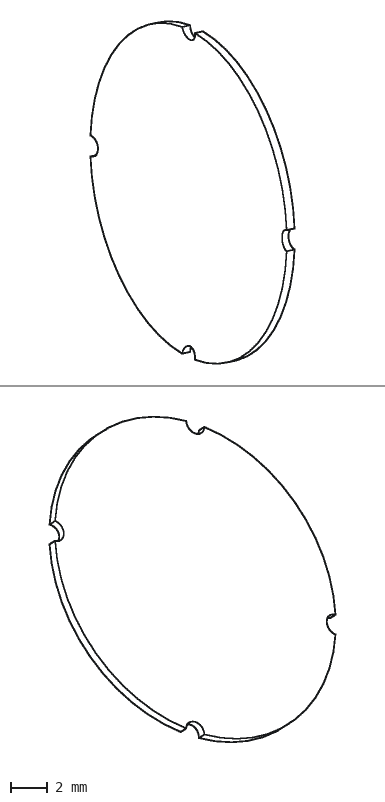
import cadquery as cq
import math

disc_radius = 9.4
total_depth = 1.69
rim_thickness = 0.53
ledge_width = 0.65
cavity_depth = 0.75
notch_radius = 0.6

dome_radius = disc_radius - ledge_width
profile_fraction = 0.7
notch_angles = (0, 90, 180, 270)


def meniscus_disc():
    """Revolve the half section about Y: hollow front, flat-edged rim, domed back."""
    def arc_middle(base_radius, sag, base_y):
        sphere_radius = (base_radius**2 + sag**2) / (2 * sag)
        x = base_radius * profile_fraction
        y = base_y + sag - sphere_radius + math.sqrt(sphere_radius**2 - x**2)
        return (x, y)

    dome_height = total_depth - rim_thickness
    return (
        cq.Workplane("XY")
        .moveTo(0, cavity_depth)
        .threePointArc(arc_middle(disc_radius, cavity_depth, 0), (disc_radius, 0))
        .lineTo(disc_radius, rim_thickness)
        .lineTo(dome_radius, rim_thickness)
        .threePointArc(arc_middle(dome_radius, dome_height, rim_thickness), (0, total_depth))
        .close()
        .revolve(360, (0, 0, 0), (0, 1, 0))
    )


def edge_notches():
    """Round cutters centred on the rim, one at each quarter turn."""
    centres = [
        (disc_radius * math.cos(math.radians(a)), disc_radius * math.sin(math.radians(a)))
        for a in notch_angles
    ]
    return cq.Workplane("XZ").pushPoints(centres).circle(notch_radius).extrude(-total_depth)


result = meniscus_disc().cut(edge_notches())